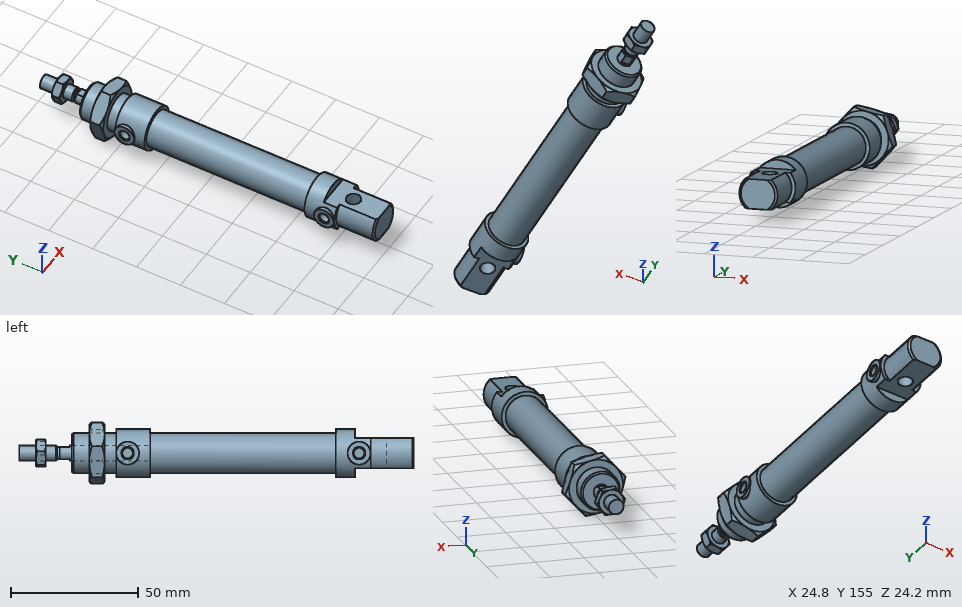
import cadquery as cq
import math

tip_y = 155.0
nose_y = 134.2
head_front_y = 116.9
head_rear_y = 103.5
cap_front_y = 30.7
clevis_flat_y = 23.1
cap_rear_y = 17.0

barrel_diameter = 16.0
head_diameter = 19.0
nose_chamfer_length = 0.8
nose_chamfer_depth = 0.6
clevis_thickness = 12.0
clevis_chamfer_length = 0.6
clevis_chamfer_depth = 1.0
pivot_hole_diameter = 6.0
pivot_hole_y = 14.0

boss_diameter = 9.0
boss_face_x = -10.0
port_diameter = 4.2
port_mouth_diameter = 5.0
port_depth = 3.9
port_chamfer = (port_mouth_diameter - port_diameter) / 2
front_port_y = head_front_y - boss_diameter / 2
rear_port_y = cap_rear_y + boss_diameter / 2

rod_diameter = 6.0
rod_inner_end_y = head_rear_y
neck_diameter = 5.0
neck_front_y = 140.0
neck_rear_y = 139.0
thread_chamfer = (rod_diameter - neck_diameter) / 2
wrench_width = 5.0
wrench_rear_y = 135.2

mounting_nut_width = 22.0
mounting_nut_thickness = 6.0
mounting_nut_rear_y = 121.4
mounting_nut_turn = 12.3
rod_nut_width = 10.0
rod_nut_thickness = 3.9
rod_nut_rear_y = 144.5
rod_nut_turn = 7.0
nut_chamfer_angle = 30.0


def cylinder(diameter, start_y, end_y):
    """Cylinder on the Y axis between two stations."""
    length = end_y - start_y
    return cq.Workplane("XZ", origin=(0, start_y, 0)).circle(diameter / 2).extrude(-length)


def revolve_profile(points):
    """Turn a closed (radius, Y) outline about the Y axis."""
    return cq.Workplane("XY").polyline(points).close().revolve(360, (0, 0, 0), (0, 1, 0))


def x_cylinder(diameter, start_x, end_x, y):
    """Cylinder parallel to X, centred at the given station."""
    return cq.Workplane("YZ", origin=(start_x, y, 0)).circle(diameter / 2).extrude(end_x - start_x)


def cut_two_flats(body, width, diameter, start_y, end_y):
    """Mill flats on the +Z and -Z sides, leaving the given width between them."""
    length = end_y - start_y
    for side in (1, -1):
        waste = cq.Workplane("XY").box(diameter, length, diameter).translate(
            (0, (start_y + end_y) / 2, side * (width + diameter) / 2)
        )
        body = body.cut(waste)
    return body


def make_housing():
    """Front head, barrel and rear clevis cap, with two ports and a rod bore."""
    barrel_radius = barrel_diameter / 2
    head_radius = head_diameter / 2
    body = revolve_profile([
        (0, 0),
        (barrel_radius - clevis_chamfer_depth, 0),
        (barrel_radius, clevis_chamfer_length),
        (barrel_radius, cap_rear_y),
        (head_radius, cap_rear_y),
        (head_radius, cap_front_y),
        (barrel_radius, cap_front_y),
        (barrel_radius, head_rear_y),
        (head_radius, head_rear_y),
        (head_radius, head_front_y),
        (barrel_radius, head_front_y),
        (barrel_radius, nose_y - nose_chamfer_length),
        (barrel_radius - nose_chamfer_depth, nose_y),
        (0, nose_y),
    ])

    body = cut_two_flats(body, clevis_thickness, head_diameter, 0, clevis_flat_y)
    pivot_hole = (
        cq.Workplane("XY")
        .center(0, pivot_hole_y)
        .circle(pivot_hole_diameter / 2)
        .extrude(clevis_thickness, both=True)
    )
    body = body.cut(pivot_hole)

    for port_y in (front_port_y, rear_port_y):
        port = x_cylinder(port_diameter, boss_face_x, boss_face_x + port_depth, port_y)
        mouth = cq.Workplane(
            cq.Solid.makeCone(
                port_mouth_diameter / 2,
                port_diameter / 2,
                port_chamfer,
                pnt=cq.Vector(boss_face_x, port_y, 0),
                dir=cq.Vector(1, 0, 0),
            )
        )
        body = body.union(x_cylinder(boss_diameter, boss_face_x, 0, port_y))
        body = body.cut(port).cut(mouth)

    return body.cut(cylinder(rod_diameter, rod_inner_end_y, nose_y))


def make_rod():
    """Piston rod with wrench flats, a thread-relief neck and a plain threaded end."""
    rod_radius = rod_diameter / 2
    neck_radius = neck_diameter / 2
    rod = revolve_profile([
        (0, rod_inner_end_y),
        (rod_radius, rod_inner_end_y),
        (rod_radius, neck_rear_y),
        (neck_radius, neck_rear_y),
        (neck_radius, neck_front_y),
        (rod_radius, neck_front_y + thread_chamfer),
        (rod_radius, tip_y),
        (0, tip_y),
    ])
    return cut_two_flats(rod, wrench_width, rod_diameter, wrench_rear_y, neck_rear_y)


def make_nut(width, thickness, bore_diameter, rear_y, turn):
    """Hexagon nut on the Y axis with both faces turned down to the flats."""
    corner_radius = width / 2 / math.cos(math.pi / 6)
    flat_radius = width / 2
    chamfer_length = (corner_radius - flat_radius) * math.tan(math.radians(nut_chamfer_angle))
    front_y = rear_y + thickness
    hexagon = (
        cq.Workplane("XZ", origin=(0, rear_y, 0))
        .polygon(6, 2 * corner_radius)
        .extrude(-thickness)
        .rotate((0, 0, 0), (0, 1, 0), turn)
    )
    turned_blank = revolve_profile([
        (0, rear_y),
        (flat_radius, rear_y),
        (corner_radius, rear_y + chamfer_length),
        (corner_radius, front_y - chamfer_length),
        (flat_radius, front_y),
        (0, front_y),
    ])
    return hexagon.intersect(turned_blank).cut(cylinder(bore_diameter, rear_y, front_y))


housing = make_housing()
rod = make_rod()
mounting_nut = make_nut(
    mounting_nut_width, mounting_nut_thickness, barrel_diameter, mounting_nut_rear_y, mounting_nut_turn
)
rod_nut = make_nut(rod_nut_width, rod_nut_thickness, rod_diameter, rod_nut_rear_y, rod_nut_turn)

result = cq.Compound.makeCompound([housing.val(), rod.val(), mounting_nut.val(), rod_nut.val()])